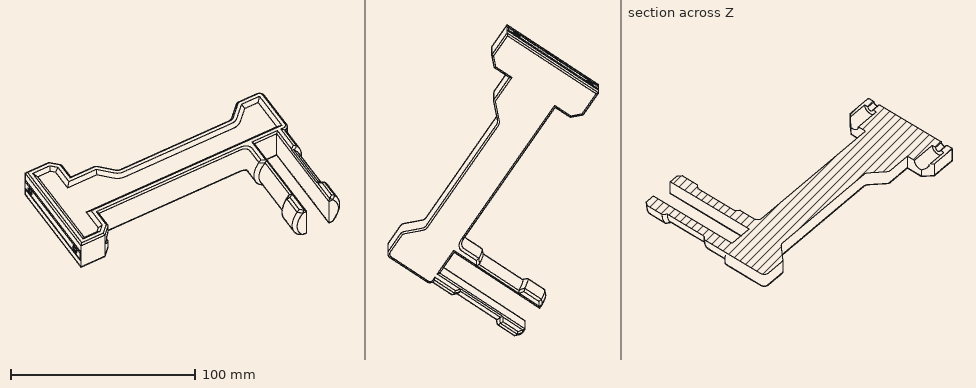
import cadquery as cq
import math

THICKNESS = 20.0
MID_Z = THICKNESS / 2
FOOT_LENGTH = 60.0
FOOT_DEPTH = 20.0
FOOT_CORNER = 5.0
TOTAL_HEIGHT = 140.0
COLUMN_LEFT = 15.0
COLUMN_RIGHT = 45.0
COLUMN_CORNER_RADIUS = 3.0
EDGE_CHAMFER = 1.0
BEVEL_ANGLE = 45.0

PICK_MARGIN = 1.0

RELIEF_DEPTH = 9.0
RELIEF_BOTTOM = 35.5
RELIEF_TOP = 124.5
RELIEF_RADIUS = 3.0

POCKET_WALL = 3.0
POCKET_DEPTH = 2.0

ARM_END = 101.0
COLLAR_RADIUS = 15.0
ARM_AXIS_Y = TOTAL_HEIGHT - COLLAR_RADIUS
GROOVE_DEPTH = 2.0
GROOVE_RADIUS = COLLAR_RADIUS - GROOVE_DEPTH
GROOVE_START = 60.0
GROOVE_END = 86.0
ARM_ROOT_RADIUS = 3.0
SLOT_WIDTH = 14.0

STRIP_HEIGHT = 7.0
STRIP_RISE = 0.5

SCREW_INSET = 6.0
SCREW_DIAMETER = 3.2
SCREW_MOUTH_CHAMFER = 0.5
HEAD_DIAMETER = 8.0
HEAD_SEAT_Y = 5.0


def body_outline():
    """Foot and column seen along Z, with sharp column corners."""
    relief_x = COLUMN_LEFT + RELIEF_DEPTH
    return [
        (0, 0),
        (FOOT_LENGTH, 0),
        (FOOT_LENGTH, FOOT_DEPTH - FOOT_CORNER),
        (FOOT_LENGTH - FOOT_CORNER, FOOT_DEPTH),
        (COLUMN_RIGHT, FOOT_DEPTH),
        (COLUMN_RIGHT, TOTAL_HEIGHT),
        (COLUMN_LEFT, TOTAL_HEIGHT),
        (COLUMN_LEFT, RELIEF_TOP),
        (relief_x, RELIEF_TOP - RELIEF_DEPTH),
        (relief_x, RELIEF_BOTTOM + RELIEF_DEPTH),
        (COLUMN_LEFT, RELIEF_BOTTOM),
        (COLUMN_LEFT, FOOT_DEPTH),
        (FOOT_CORNER, FOOT_DEPTH),
        (0, FOOT_DEPTH - FOOT_CORNER),
    ]


def corners_between(low, high):
    """Selector for the upright edges inside a rectangle given by two opposite corners."""
    low_x, low_y = low
    high_x, high_y = high
    return cq.selectors.BoxSelector(
        (low_x - PICK_MARGIN, low_y - PICK_MARGIN, 0),
        (high_x + PICK_MARGIN, high_y + PICK_MARGIN, THICKNESS),
    )


def make_body():
    """Foot and column as one block with rounded column corners."""
    block = cq.Workplane("XY").polyline(body_outline()).close().extrude(THICKNESS)
    column = block.edges("|Z").edges(
        corners_between((COLUMN_LEFT, TOTAL_HEIGHT), (COLUMN_RIGHT, TOTAL_HEIGHT))
    ).fillet(COLUMN_CORNER_RADIUS)
    relief = corners_between(
        (COLUMN_LEFT, RELIEF_BOTTOM), (COLUMN_LEFT + RELIEF_DEPTH, RELIEF_TOP)
    )
    return column.edges("|Z").edges(relief).fillet(RELIEF_RADIUS)


def plate_slab():
    """Block spanning the plate thickness, larger than the part in X and Y."""
    return cq.Workplane("XY").box(
        2 * ARM_END, 2 * TOTAL_HEIGHT, THICKNESS, centered=(False, False, False)
    )


def make_arm_spool():
    """Solid grooved cylinder trimmed to the plate thickness."""
    start = COLUMN_RIGHT - COLUMN_CORNER_RADIUS
    spool = (
        cq.Workplane("XY")
        .moveTo(start, 0)
        .lineTo(start, COLLAR_RADIUS)
        .lineTo(GROOVE_START - GROOVE_DEPTH, COLLAR_RADIUS)
        .lineTo(GROOVE_START, GROOVE_RADIUS)
        .lineTo(GROOVE_END, GROOVE_RADIUS)
        .lineTo(GROOVE_END + GROOVE_DEPTH, COLLAR_RADIUS)
        .lineTo(ARM_END - GROOVE_DEPTH, COLLAR_RADIUS)
        .lineTo(ARM_END, GROOVE_RADIUS)
        .lineTo(ARM_END, 0)
        .close()
        .revolve(360, (0, 0, 0), (1, 0, 0))
        .translate((0, ARM_AXIS_Y, MID_Z))
    )
    return spool.intersect(plate_slab())


def make_arm_root():
    """Concave flare where the lower arm meets the column."""
    flare_radius = COLLAR_RADIUS + ARM_ROOT_RADIUS
    diagonal = ARM_ROOT_RADIUS * (1 - math.sqrt(0.5))
    flare_end = COLUMN_RIGHT + ARM_ROOT_RADIUS
    flare = (
        cq.Workplane("XY")
        .moveTo(COLUMN_RIGHT, 0)
        .lineTo(COLUMN_RIGHT, -flare_radius)
        .threePointArc(
            (COLUMN_RIGHT + diagonal, -COLLAR_RADIUS - diagonal),
            (flare_end, -COLLAR_RADIUS),
        )
        .lineTo(flare_end, 0)
        .close()
        .revolve(180, (0, 0, 0), (1, 0, 0))
        .rotate((0, 0, 0), (1, 0, 0), -90)
    )
    return flare.translate((0, ARM_AXIS_Y, MID_Z)).intersect(plate_slab())


def make_arms():
    """Lower half of the spool with its flare, and the plain upper half."""
    spool = make_arm_spool()
    upper_space = plate_slab().translate((0, ARM_AXIS_Y, 0))
    lower = spool.cut(upper_space).union(make_arm_root())
    return lower, spool.intersect(upper_space)


def bevel_faces(solid):
    """Chamfer the outlines of the top and bottom faces."""
    return solid.faces("<Z or >Z").edges().chamfer(EDGE_CHAMFER)


def cut_arm_slot(part):
    """Split the spool in two and bevel the slot rims on both faces."""
    run = 2 * (ARM_END - COLUMN_RIGHT)

    def slot_block(z, inset, height, taper):
        width = SLOT_WIDTH + 2 * inset
        start = COLUMN_RIGHT - inset
        return (
            cq.Workplane("XY", origin=(start + run / 2, ARM_AXIS_Y, z))
            .rect(run, width)
            .extrude(height, taper=taper)
        )

    part = part.cut(slot_block(0, 0, THICKNESS, 0))
    part = part.cut(slot_block(0, EDGE_CHAMFER, EDGE_CHAMFER, BEVEL_ANGLE))
    return part.cut(slot_block(THICKNESS, EDGE_CHAMFER, -EDGE_CHAMFER, BEVEL_ANGLE))


def cut_pocket(part, body):
    """Sink the pocket with 45 degree walls into the top face of the foot and column."""
    rim = body.faces(">Z").wires().toPending().offset2D(-POCKET_WALL, "intersection")
    cutter = rim.extrude(2 * POCKET_DEPTH, combine=False).translate((0, 0, -POCKET_DEPTH))
    return part.cut(cutter.faces("<Z").edges().chamfer(POCKET_DEPTH))


def make_strip():
    """Shallow strip with beveled sides along the front of the foot."""
    return (
        cq.Workplane("XZ", origin=(FOOT_LENGTH / 2, 0, MID_Z))
        .rect(FOOT_LENGTH, STRIP_HEIGHT)
        .extrude(STRIP_RISE, taper=BEVEL_ANGLE)
    )


def cut_screw_hole(part, x):
    """Through hole with a mouth chamfer in front and a head bore behind."""
    radius = SCREW_DIAMETER / 2
    mouth_radius = radius + SCREW_MOUTH_CHAMFER
    mouth_end = SCREW_MOUTH_CHAMFER - STRIP_RISE
    head_radius = HEAD_DIAMETER / 2
    cutter = (
        cq.Workplane("XY")
        .moveTo(0, -STRIP_RISE)
        .lineTo(mouth_radius, -STRIP_RISE)
        .lineTo(radius, mouth_end)
        .lineTo(radius, HEAD_SEAT_Y)
        .lineTo(head_radius, HEAD_SEAT_Y)
        .lineTo(head_radius, FOOT_DEPTH)
        .lineTo(0, FOOT_DEPTH)
        .close()
        .revolve(360, (0, 0, 0), (0, 1, 0))
    )
    return part.cut(cutter.translate((x, 0, MID_Z)))


body = make_body()
lower_arm, upper_arm = make_arms()
part = bevel_faces(body.union(lower_arm))
part = part.union(bevel_faces(upper_arm))
part = cut_arm_slot(part)
part = cut_pocket(part, body)
part = part.union(make_strip())
for screw_x in (SCREW_INSET, FOOT_LENGTH - SCREW_INSET):
    part = cut_screw_hole(part, screw_x)

result = part